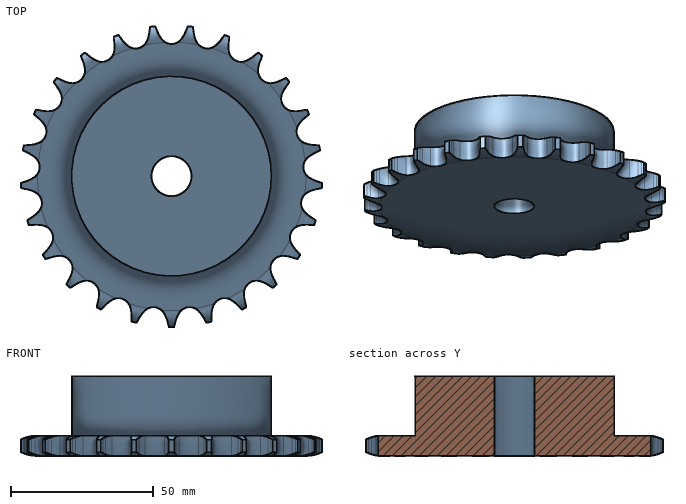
import cadquery as cq
import math

tooth_count = 25
pitch_diameter = 101.4
tip_diameter = 105.8
plate_thickness = 7.2

hub_diameter = 70.0
bore_diameter = 14.0
total_height = 28.0

relief_start_radius = 47.0
relief_arc_radius = 13.0

seat_radius = 4.3
flank_radius = 11.1
straight_length = 1.2
shoulder_radius = 7.0
seat_end_angle = 35 + 60 / tooth_count
flank_sweep = 18 - 56 / tooth_count
shoulder_sweep = 12

tip_radius = tip_diameter / 2
pitch_radius = pitch_diameter / 2
tooth_angle = 360 / tooth_count


def offset(point, distance, angle):
    """Move a point along a direction given in degrees from +X."""
    turn = math.radians(angle)
    return (point[0] + distance * math.cos(turn), point[1] + distance * math.sin(turn))


def mirrored(point):
    return (-point[0], point[1])


def make_blank():
    """Toothless plate, with both faces curving in towards the rim."""
    relief_width = tip_radius - relief_start_radius

    def relief_depth(distance):
        return relief_arc_radius - math.sqrt(relief_arc_radius**2 - distance**2)

    middle_radius = relief_start_radius + relief_width / 2
    middle_depth = relief_depth(relief_width / 2)
    tip_depth = relief_depth(relief_width)
    return (
        cq.Workplane("XZ")
        .lineTo(relief_start_radius, 0)
        .threePointArc((middle_radius, middle_depth), (tip_radius, tip_depth))
        .lineTo(tip_radius, plate_thickness - tip_depth)
        .threePointArc(
            (middle_radius, plate_thickness - middle_depth),
            (relief_start_radius, plate_thickness),
        )
        .lineTo(0, plate_thickness)
        .close()
        .revolve(360, (0, 0, 0), (0, 1, 0))
    )


def make_gap_cutter():
    """Solid that removes one tooth gap, centred on +Y; each arc is tangent to the next part."""
    seat_centre = (0, pitch_radius)
    seat_bottom = offset(seat_centre, seat_radius, -90)
    seat_end = offset(seat_centre, seat_radius, -seat_end_angle)

    flank_end_angle = seat_end_angle - flank_sweep
    flank_centre = offset(seat_end, -flank_radius, -seat_end_angle)
    flank_middle = offset(flank_centre, flank_radius, -seat_end_angle + flank_sweep / 2)
    flank_end = offset(flank_centre, flank_radius, -flank_end_angle)

    straight_end = offset(flank_end, straight_length, 90 - flank_end_angle)

    shoulder_centre = offset(straight_end, shoulder_radius, -flank_end_angle)
    shoulder_middle = offset(shoulder_centre, -shoulder_radius, -flank_end_angle - shoulder_sweep / 2)
    shoulder_end = offset(shoulder_centre, -shoulder_radius, -flank_end_angle - shoulder_sweep)

    return (
        cq.Workplane("XY")
        .moveTo(*mirrored(shoulder_end))
        .threePointArc(mirrored(shoulder_middle), mirrored(straight_end))
        .lineTo(*mirrored(flank_end))
        .threePointArc(mirrored(flank_middle), mirrored(seat_end))
        .threePointArc(seat_bottom, seat_end)
        .threePointArc(flank_middle, flank_end)
        .lineTo(*straight_end)
        .threePointArc(shoulder_middle, shoulder_end)
        .close()
        .extrude(plate_thickness)
    )


def cut_tooth_gaps(blank):
    cutter = make_gap_cutter()
    for index in range(tooth_count):
        turn = index * tooth_angle
        blank = blank.cut(cutter.rotate((0, 0, 0), (0, 0, 1), turn))
    return blank


def make_hub():
    return cq.Workplane("XY").circle(hub_diameter / 2).extrude(total_height)


def make_bore():
    return cq.Workplane("XY").circle(bore_diameter / 2).extrude(total_height)


result = cut_tooth_gaps(make_blank()).union(make_hub()).cut(make_bore())